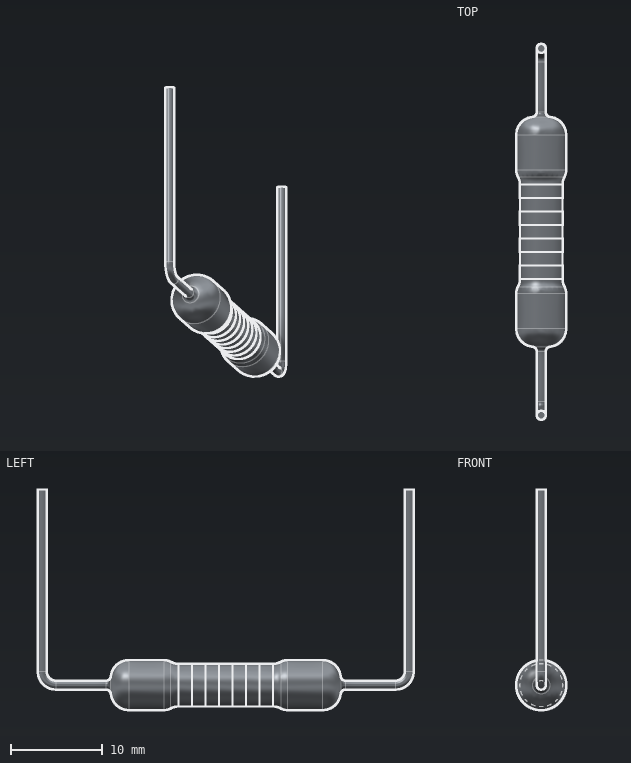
import cadquery as cq
import math


lead_diameter = 1.0
lead_pitch = 40.0
bend_radius = 1.5
lead_top = 21.35

cap_diameter = 5.5
cap_straight_inner = 6.75
cap_straight_outer = 10.55
dome_radius = 2.0
collar_fillet = 0.5

neck_diameter = 4.67
band_diameter = 4.7
stripe_count = 7
neck_length = 10.26
shoulder_inflection = 6.0

lead_radius = lead_diameter / 2
cap_radius = cap_diameter / 2
neck_radius = neck_diameter / 2
neck_end = neck_length / 2
stripe_width = neck_length / stripe_count


def arc_middle(center, radius, start_angle, end_angle):
    """Point halfway along an arc, with angles in degrees from the first sketch axis."""
    angle = math.radians((start_angle + end_angle) / 2)
    return (center[0] + radius * math.cos(angle), center[1] + radius * math.sin(angle))


def revolve_about_y(profile):
    """Full turn about Y of a YZ profile, whose sketch axes are position along Y and radius."""
    return profile.revolve(360, (0, 0, 0), (1, 0, 0))


def make_cap():
    """+Y end of the body: shoulder, straight cap, dome and the small collar at the lead."""
    shoulder_length = cap_straight_inner - neck_end
    inflection_share = (shoulder_inflection - neck_end) / shoulder_length
    inflection_radius = neck_radius + inflection_share * (cap_radius - neck_radius)
    shoulder_middle = (shoulder_inflection, inflection_radius)

    dome_center = (cap_straight_outer, cap_radius - dome_radius)
    collar_radial = lead_radius + collar_fillet
    radial_gap = collar_radial - dome_center[1]
    axial_gap = math.sqrt((dome_radius + collar_fillet) ** 2 - radial_gap**2)
    collar_center = (cap_straight_outer + axial_gap, collar_radial)
    tangent_angle = math.degrees(math.atan2(radial_gap, axial_gap))

    profile = (
        cq.Workplane("YZ")
        .moveTo(collar_center[0], 0)
        .lineTo(collar_center[0], lead_radius)
        .threePointArc(
            arc_middle(collar_center, collar_fillet, 180 + tangent_angle, 270),
            arc_middle(dome_center, dome_radius, tangent_angle, tangent_angle),
        )
        .threePointArc(
            arc_middle(dome_center, dome_radius, 90, tangent_angle),
            (cap_straight_outer, cap_radius),
        )
        .lineTo(cap_straight_inner, cap_radius)
        .tangentArcPoint(shoulder_middle, relative=False)
        .tangentArcPoint((neck_end, neck_radius), relative=False)
        .lineTo(neck_end, 0)
        .close()
    )
    return revolve_about_y(profile)


def make_cylinder(start, length, diameter):
    """Cylinder about the Y axis, from start towards +Y."""
    profile = cq.Workplane("YZ").moveTo(start, 0).hLine(length).vLine(diameter / 2).hLine(-length).close()
    return revolve_about_y(profile)


def make_lead():
    """+Y lead: out of the body along Y, round the bend and up."""
    lead_y = lead_pitch / 2
    bend_start = lead_y - bend_radius
    bend_middle = arc_middle((bend_start, bend_radius), bend_radius, -90, 0)
    path = (
        cq.Workplane("YZ")
        .moveTo(cap_straight_outer, 0)
        .lineTo(bend_start, 0)
        .threePointArc(bend_middle, (lead_y, bend_radius))
        .lineTo(lead_y, lead_top)
    )
    section = cq.Workplane("XZ", origin=(0, cap_straight_outer, 0)).circle(lead_radius)
    return section.sweep(path)


def make_neck():
    """Core between the caps, with a raised band on every second stripe from one end to the other."""
    neck = make_cylinder(-neck_end, neck_length, neck_diameter)
    for index in range(0, stripe_count, 2):
        band_start = -neck_end + index * stripe_width
        neck = neck.union(make_cylinder(band_start, stripe_width, band_diameter))
    return neck


end_piece = make_cap().union(make_lead())
result = make_neck().union(end_piece).union(end_piece.mirror("XZ"))